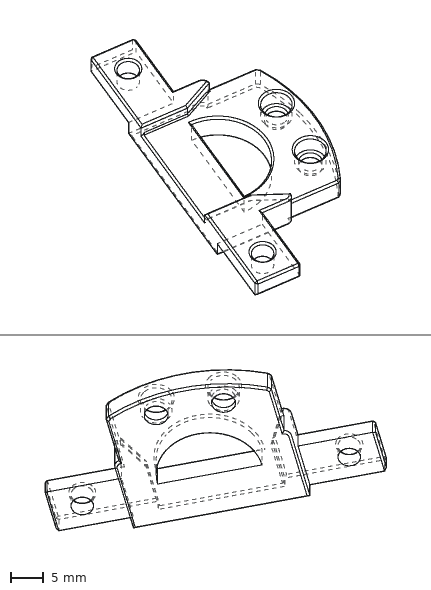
import cadquery as cq
import math

length = 51.5
depth = 25.05
height = 6.0
edge_chamfer = 0.35

plate_thickness = 4.05
plate_half_width = 12.9
foot_half_width = 13.75
foot_side_end = 12.2
foot_corner_radius = 1.2
foot_corner_x = foot_half_width - foot_corner_radius
foot_end = foot_side_end + math.sqrt(foot_corner_radius**2 - (plate_half_width - foot_corner_x) ** 2)
plate_side_end = 21.65
bow_end_x = 12.4
bow_end_y = 22.2

arm_underside = 2.95
arm_depth = 7.85
recess_half_width = 9.85
recess_corner_y = 8.05
base_chamfer = 0.25
flank_angle = 45

window_radius = 8.15
rim_margin = 0.05
arm_hole_diameter = 3.4
arm_hole_x = 20.8
arm_hole_y = arm_depth / 2
rear_hole_diameter = 3.6
rear_bore_diameter = 4.8
rear_bore_depth = 2.95
rear_hole_x = 5.25
rear_hole_y = 20.95


def make_plate():
    """Plate outline with chamfered top and bottom rims and a half-round window."""
    plate = (
        cq.Workplane("XY")
        .moveTo(-foot_half_width, 0)
        .lineTo(-foot_half_width, foot_side_end)
        .radiusArc((-plate_half_width, foot_end), foot_corner_radius)
        .lineTo(-plate_half_width, plate_side_end)
        .lineTo(-bow_end_x, bow_end_y)
        .threePointArc((0, depth), (bow_end_x, bow_end_y))
        .lineTo(plate_half_width, plate_side_end)
        .lineTo(plate_half_width, foot_end)
        .radiusArc((foot_half_width, foot_side_end), foot_corner_radius)
        .lineTo(foot_half_width, 0)
        .close()
        .extrude(plate_thickness)
        .faces("<Z or >Z")
        .chamfer(edge_chamfer)
    )
    window = (
        cq.Workplane("XY")
        .moveTo(-window_radius, arm_depth)
        .threePointArc((0, arm_depth + window_radius), (window_radius, arm_depth))
        .close()
        .extrude(plate_thickness)
    )
    window_rim = cq.selectors.BoxSelector(
        (-window_radius - rim_margin, arm_depth - rim_margin, plate_thickness - rim_margin),
        (window_radius + rim_margin, arm_depth + window_radius + rim_margin, plate_thickness + rim_margin),
    )
    return plate.cut(window).edges(window_rim).chamfer(edge_chamfer)


def make_left_shoulder():
    """Arm and pointed guide, chamfered on top and around the arm's end."""
    shoulder = (
        cq.Workplane("XY", origin=(0, 0, arm_underside))
        .moveTo(-length / 2, 0)
        .lineTo(-length / 2, arm_depth)
        .lineTo(-foot_half_width, arm_depth)
        .lineTo(-foot_half_width, foot_side_end)
        .radiusArc((-foot_corner_x, foot_side_end + foot_corner_radius), foot_corner_radius)
        .lineTo(-recess_half_width, recess_corner_y)
        .lineTo(-recess_half_width, 0)
        .close()
        .extrude(height - arm_underside)
    )
    return shoulder.faces(">Z or <X").chamfer(edge_chamfer)


def chamfered_hole(x, y, diameter, top):
    """Cutter for a through hole with a countersunk upper rim."""
    radius = diameter / 2
    hole = cq.Workplane("XY").center(x, y).circle(radius).extrude(top)
    rim = cq.Solid.makeCone(
        radius, radius + edge_chamfer, edge_chamfer, pnt=cq.Vector(x, y, top - edge_chamfer)
    )
    return hole.union(cq.Workplane(rim))


def rear_hole(x):
    """Cutter for a through hole with a chamfered counterbore."""
    bore = chamfered_hole(x, rear_hole_y, rear_bore_diameter, rear_bore_depth)
    bore = bore.translate((0, 0, plate_thickness - rear_bore_depth))
    hole = cq.Workplane("XY").center(x, rear_hole_y).circle(rear_hole_diameter / 2)
    return bore.union(hole.extrude(plate_thickness))


def make_left_wall_base():
    """Low mound inside the shoulder whose flank slopes from the recess wall to the plate."""
    wall_run = foot_corner_x - recess_half_width
    wall_rise = foot_end - recess_corner_y
    wall_angle = math.atan2(wall_run, wall_rise)
    flank_x = -recess_half_width + base_chamfer
    flank_corner_y = recess_corner_y + base_chamfer * math.tan(wall_angle / 2)
    flank_end_x = flank_x - wall_run
    return (
        cq.Workplane("XY", origin=(0, 0, plate_thickness))
        .moveTo(flank_x, edge_chamfer)
        .lineTo(flank_x, flank_corner_y)
        .lineTo(flank_end_x, flank_corner_y + wall_rise)
        .lineTo(flank_end_x, edge_chamfer)
        .close()
        .extrude(base_chamfer, taper=flank_angle)
    )


left_shoulder = make_left_shoulder().union(make_left_wall_base())
result = make_plate().union(left_shoulder).union(left_shoulder.mirror("YZ"))

for side in (-1, 1):
    result = result.cut(chamfered_hole(side * arm_hole_x, arm_hole_y, arm_hole_diameter, height))
    result = result.cut(rear_hole(side * rear_hole_x))